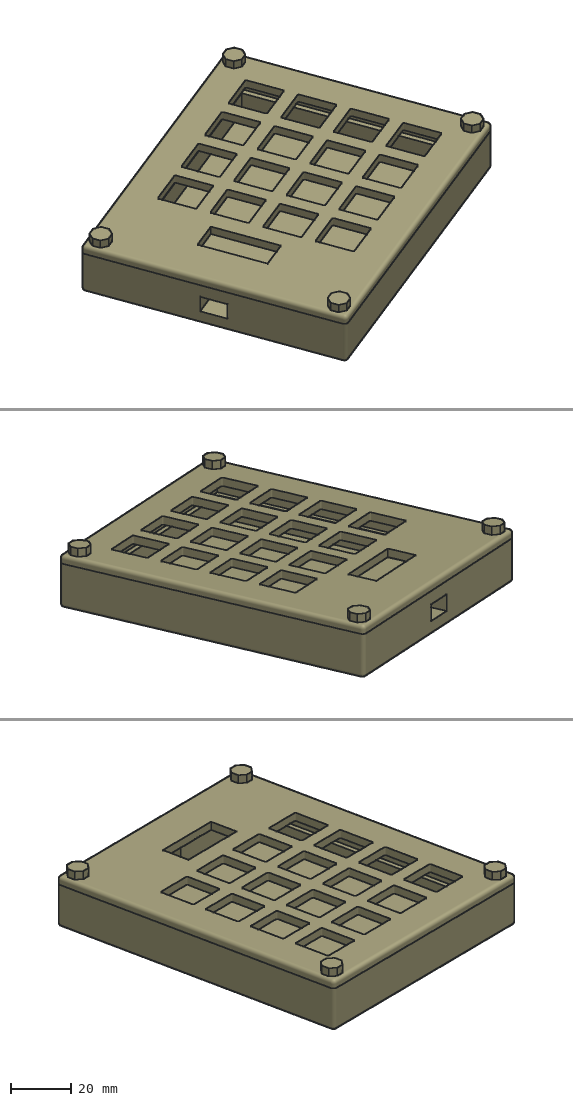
import cadquery as cq

WIDTH = 96.2
LENGTH = 117.6
TOTAL_HEIGHT = 22.0
HEAD_HEIGHT = 3.0
LID_THICKNESS = 3.0
EDGE_RADIUS = 1.4
ENCLOSURE_HEIGHT = TOTAL_HEIGHT - HEAD_HEIGHT
CASE_HEIGHT = ENCLOSURE_HEIGHT - LID_THICKNESS

FLOOR_THICKNESS = 2.9
CAVITY_WALL = 10.0
LEDGE_WIDTH = 2.0
LEDGE_DEPTH = 4.9
RECESS_WALL = CAVITY_WALL - LEDGE_WIDTH
LEDGE_Z = CASE_HEIGHT - LEDGE_DEPTH

PORT_WIDTH = 9.9
PORT_HEIGHT = 6.0
PORT_BOTTOM_Z = 5.0

KEY_COUNT = 4
KEY_PITCH = 19.0
KEY_OPENING = 14.0
KEY_CORNER_RADIUS = 0.5
KEY_GRID_CENTER_Y = LENGTH / 2 - CAVITY_WALL - KEY_COUNT * KEY_PITCH / 2

WINDOW_WIDTH = 25.4
WINDOW_LENGTH = 10.8
WINDOW_CENTER_X = -0.5
WINDOW_CENTER_Y = -37.2

HEAD_SIDES = 8
HEAD_ACROSS_FLATS = 6.9
HEAD_INSET = 4.9


def block(width, length, bottom_z, top_z):
    """Box centred on X and Y between two heights."""
    box = cq.Workplane("XY").box(width, length, top_z - bottom_z, centered=(True, True, False))
    return box.translate((0, 0, bottom_z))


def rounded_enclosure():
    """Closed outer shape, rounded along all its edges, that the case and lid share."""
    return block(WIDTH, LENGTH, 0, ENCLOSURE_HEIGHT).edges().fillet(EDGE_RADIUS)


def make_case():
    """Lower part of the enclosure with a ledged cavity and a cable port."""
    case = rounded_enclosure().intersect(block(WIDTH, LENGTH, 0, CASE_HEIGHT))
    cavity = block(WIDTH - 2 * CAVITY_WALL, LENGTH - 2 * CAVITY_WALL, FLOOR_THICKNESS, CASE_HEIGHT)
    recess = block(WIDTH - 2 * RECESS_WALL, LENGTH - 2 * RECESS_WALL, LEDGE_Z, CASE_HEIGHT)
    port = block(PORT_WIDTH, CAVITY_WALL, PORT_BOTTOM_Z, PORT_BOTTOM_Z + PORT_HEIGHT)
    port = port.translate((0, (CAVITY_WALL - LENGTH) / 2, 0))
    return case.cut(cavity).cut(recess).cut(port)


def make_lid():
    """Top plate with the key openings and the display window."""
    lid = rounded_enclosure().intersect(block(WIDTH, LENGTH, CASE_HEIGHT, ENCLOSURE_HEIGHT))
    key_opening = (
        block(KEY_OPENING, KEY_OPENING, CASE_HEIGHT, ENCLOSURE_HEIGHT)
        .edges("|Z")
        .fillet(KEY_CORNER_RADIUS)
    )
    first_offset = -(KEY_COUNT - 1) * KEY_PITCH / 2
    for column in range(KEY_COUNT):
        for row in range(KEY_COUNT):
            x = first_offset + column * KEY_PITCH
            y = KEY_GRID_CENTER_Y + first_offset + row * KEY_PITCH
            lid = lid.cut(key_opening.translate((x, y, 0)))
    window = block(WINDOW_WIDTH, WINDOW_LENGTH, CASE_HEIGHT, ENCLOSURE_HEIGHT)
    return lid.cut(window.translate((WINDOW_CENTER_X, WINDOW_CENTER_Y, 0)))


def make_screw_head(x, y):
    """Eight-sided head, flats facing X and Y, that rests on the lid."""
    return (
        cq.Workplane("XY")
        .polygon(HEAD_SIDES, HEAD_ACROSS_FLATS, circumscribed=True)
        .extrude(HEAD_HEIGHT)
        .translate((x, y, ENCLOSURE_HEIGHT))
    )


case = make_case()
lid = make_lid()
screw_heads = []
for x_side in (-1, 1):
    for y_side in (-1, 1):
        head_x = x_side * (WIDTH / 2 - HEAD_INSET)
        head_y = y_side * (LENGTH / 2 - HEAD_INSET)
        screw_heads.append(make_screw_head(head_x, head_y).val())

result = cq.Compound.makeCompound([case.val(), lid.val(), *screw_heads])